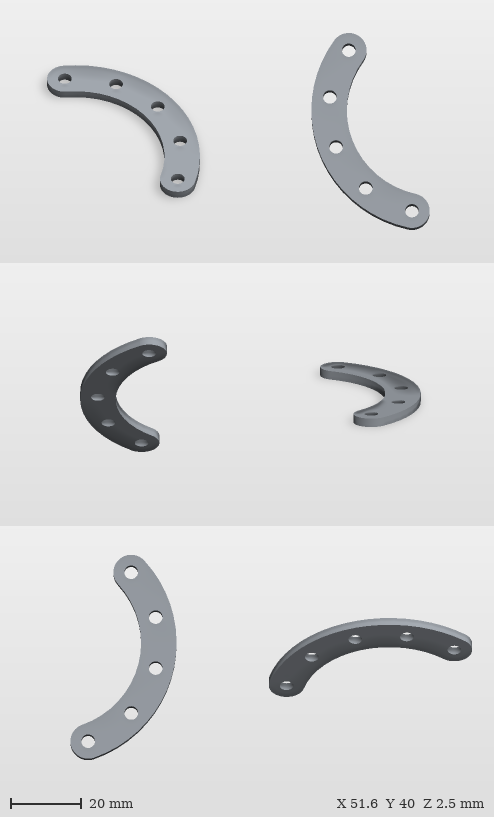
import cadquery as cq
import math

overall_length = 51.65
thickness = 2.5
centerline_radius = 30.0
band_width = 10.0
hole_diameter = 3.9
hole_count = 5

end_radius = band_width / 2
outer_radius = centerline_radius + end_radius
inner_radius = centerline_radius - end_radius

far_end_offset = overall_length - outer_radius - end_radius
sweep_angle = math.acos(-far_end_offset / centerline_radius)
end_cap_angle = math.pi / 2


def polar(radius, angle):
    """Point at a radius and angle around the arc center."""
    return (radius * math.cos(angle), radius * math.sin(angle))


def end_tip(center_angle, outward_angle):
    """Outermost point of a rounded end."""
    center_x, center_y = polar(centerline_radius, center_angle)
    offset_x, offset_y = polar(end_radius, outward_angle)
    return (center_x + offset_x, center_y + offset_y)


def curved_band():
    """Flat arc-shaped band with full-round ends."""
    return (
        cq.Workplane("XY")
        .moveTo(*polar(outer_radius, 0))
        .threePointArc(polar(outer_radius, sweep_angle / 2), polar(outer_radius, sweep_angle))
        .threePointArc(end_tip(sweep_angle, sweep_angle + end_cap_angle), polar(inner_radius, sweep_angle))
        .threePointArc(polar(inner_radius, sweep_angle / 2), polar(inner_radius, 0))
        .threePointArc(end_tip(0, -end_cap_angle), polar(outer_radius, 0))
        .close()
        .extrude(thickness)
    )


def hole_row():
    """Through-hole cylinders evenly spaced along the band centerline."""
    hole_pitch = sweep_angle / (hole_count - 1)
    centers = [polar(centerline_radius, i * hole_pitch) for i in range(hole_count)]
    return cq.Workplane("XY").pushPoints(centers).circle(hole_diameter / 2).extrude(thickness)


result = curved_band().cut(hole_row())